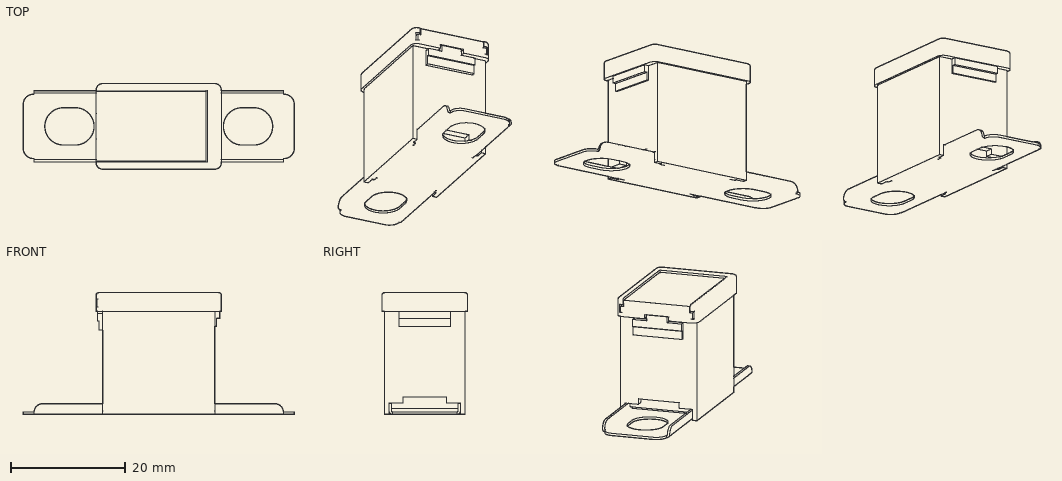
import cadquery as cq

BODY_LENGTH = 19.65
BODY_WIDTH = 14.2

TOTAL_HEIGHT = 21.35
CAP_LENGTH = 21.98
CAP_WIDTH = 15.05
CAP_HEIGHT = 3.3
CAP_CORNER_RADIUS = 1.15
CAP_EDGE_RADIUS = 0.5
CAP_BOTTOM = TOTAL_HEIGHT - CAP_HEIGHT
CAP_END = -CAP_LENGTH / 2

CHANNEL_END = 8.54
CHANNEL_MOUTH_WIDTH = 12.48
CHANNEL_WIDTH = 13.9
CHANNEL_LIP_DEPTH = 1.15
CHANNEL_DEPTH = 2.58
CHANNEL_FLOOR = TOTAL_HEIGHT - CHANNEL_DEPTH

SLIDE_END = 8.25
SLIDE_TOP_WIDTH = 12.2
SLIDE_WIDTH = 13.34
SLIDE_TOP_DEPTH = 0.29
SLIDE_SHOULDER_DEPTH = 1.43

NOTCH_WIDTH = 4.5
STEM_WIDTH = 3.82
HEAD_WIDTH = 9.06
HEAD_TOP = 17.65
HEAD_STEP = 16.33
HEAD_BOTTOM = 14.76
HEAD_REACH = 10.78
HEAD_LOWER_REACH = 10.5

LEDGE_STEP = 16.8
LEDGE_BOTTOM = 15.4
LEDGE_REACH = 10.73
LEDGE_LOWER_REACH = 10.15

TERMINAL_SPAN = 47.6
TERMINAL_WIDTH = 12.5
SHEET = 0.43
BEND_INNER_RADIUS = 0.15
FLANGE_HEIGHT = 1.88
FLANGE_SETBACK = 1.9
FLANGE_CORNER_RADIUS = 1.6
TONGUE_CORNER_RADIUS = 1.87
SLOT_LENGTH = 8.6
SLOT_WIDTH = 6.5
SLOT_CENTRE = 15.66
TERMINAL_END = TERMINAL_SPAN / 2
FLANGE_END = TERMINAL_END - FLANGE_SETBACK
BEND_OUTER_RADIUS = BEND_INNER_RADIUS + SHEET
TONGUE_WIDTH = TERMINAL_WIDTH - 2 * BEND_OUTER_RADIUS

WINDOW_DEPTH = 1.5
WINDOW_HEIGHT = 2.0
WINDOW_UPPER_WIDTH = 7.6
WINDOW_UPPER_HEIGHT = 3.0
UNDERCUT_DEPTH = 2.5
UNDERCUT_HEIGHT = 0.98


def block(x_start, x_end, width, z_bottom, z_top):
    """Box between two X and two Z limits, centred on Y."""
    return (
        cq.Workplane("XY")
        .box(x_end - x_start, width, z_top - z_bottom, centered=(False, True, False))
        .translate((x_start, 0, z_bottom))
    )


def make_cap():
    """Rounded cap carrying the channel, the slide and the catch notch."""
    cap = (
        block(CAP_END, -CAP_END, CAP_WIDTH, CAP_BOTTOM, TOTAL_HEIGHT)
        .edges("|Z")
        .fillet(CAP_CORNER_RADIUS)
        .faces(">Z")
        .edges()
        .fillet(CAP_EDGE_RADIUS)
    )
    lip_bottom = TOTAL_HEIGHT - CHANNEL_LIP_DEPTH
    slide_shoulder = TOTAL_HEIGHT - SLIDE_SHOULDER_DEPTH
    slide_top = TOTAL_HEIGHT - SLIDE_TOP_DEPTH
    channel_mouth = block(CAP_END, CHANNEL_END, CHANNEL_MOUTH_WIDTH, CHANNEL_FLOOR, TOTAL_HEIGHT)
    channel = block(CAP_END, CHANNEL_END, CHANNEL_WIDTH, CHANNEL_FLOOR, lip_bottom)
    slide_rib = block(CAP_END, SLIDE_END, SLIDE_TOP_WIDTH, CHANNEL_FLOOR, slide_top)
    slide_base = block(CAP_END, SLIDE_END, SLIDE_WIDTH, CHANNEL_FLOOR, slide_shoulder)
    notch = block(CAP_END, -BODY_LENGTH / 2, NOTCH_WIDTH, CAP_BOTTOM, CHANNEL_FLOOR)
    return cap.cut(channel_mouth).cut(channel).union(slide_rib).union(slide_base).cut(notch)


def make_catch():
    """Stem and stepped head on the -X face."""
    wall = -BODY_LENGTH / 2
    stem = block(-HEAD_REACH, wall, STEM_WIDTH, HEAD_STEP, CHANNEL_FLOOR)
    head = block(-HEAD_REACH, wall, HEAD_WIDTH, HEAD_STEP, HEAD_TOP)
    lower_head = block(-HEAD_LOWER_REACH, wall, HEAD_WIDTH, HEAD_BOTTOM, HEAD_STEP)
    return stem.union(head).union(lower_head)


def make_ledge():
    """Stepped ledge on the +X face."""
    wall = BODY_LENGTH / 2
    upper = block(wall, LEDGE_REACH, HEAD_WIDTH, LEDGE_STEP, CAP_BOTTOM)
    lower = block(wall, LEDGE_LOWER_REACH, HEAD_WIDTH, LEDGE_BOTTOM, LEDGE_STEP)
    return upper.union(lower)


def make_window():
    """Cutter for the terminal window in the +X wall."""
    wall = BODY_LENGTH / 2
    undercut_width = TERMINAL_WIDTH - 2 * SHEET
    lower = block(wall - WINDOW_DEPTH, wall, TERMINAL_WIDTH, 0, WINDOW_HEIGHT)
    upper = block(wall - WINDOW_DEPTH, wall, WINDOW_UPPER_WIDTH, 0, WINDOW_UPPER_HEIGHT)
    undercut = block(wall - UNDERCUT_DEPTH, wall, undercut_width, 0, UNDERCUT_HEIGHT)
    return lower.union(upper).union(undercut)


def make_terminal():
    """Flanged terminal at the +X end: a bent channel, a flat tongue and a slotted hole."""
    root = BODY_LENGTH / 2 - UNDERCUT_DEPTH
    channel = (
        block(root, FLANGE_END, TERMINAL_WIDTH, 0, FLANGE_HEIGHT)
        .edges("|X and <Z")
        .fillet(BEND_OUTER_RADIUS)
    )
    inside = (
        block(root, FLANGE_END, TERMINAL_WIDTH - 2 * SHEET, SHEET, FLANGE_HEIGHT)
        .edges("|X and <Z")
        .fillet(BEND_INNER_RADIUS)
    )
    rounded_envelope = (
        block(root, FLANGE_END, TERMINAL_WIDTH, 0, FLANGE_HEIGHT)
        .edges("|Y and >X and >Z")
        .fillet(FLANGE_CORNER_RADIUS)
    )
    channel = channel.cut(inside).intersect(rounded_envelope)
    tongue = (
        block(root, TERMINAL_END, TONGUE_WIDTH, 0, SHEET)
        .edges("|Z and >X")
        .fillet(TONGUE_CORNER_RADIUS)
    )
    slot = (
        cq.Workplane("XY")
        .center(SLOT_CENTRE, 0)
        .slot2D(SLOT_LENGTH, SLOT_WIDTH)
        .extrude(SHEET)
    )
    return channel.union(tongue).cut(slot)


body = block(-BODY_LENGTH / 2, BODY_LENGTH / 2, BODY_WIDTH, 0, CAP_BOTTOM)
result = body.union(make_cap()).union(make_catch()).union(make_ledge())
window = make_window()
terminal = make_terminal()
for side in (window, window.mirror("YZ")):
    result = result.cut(side)
for side in (terminal, terminal.mirror("YZ")):
    result = result.union(side)